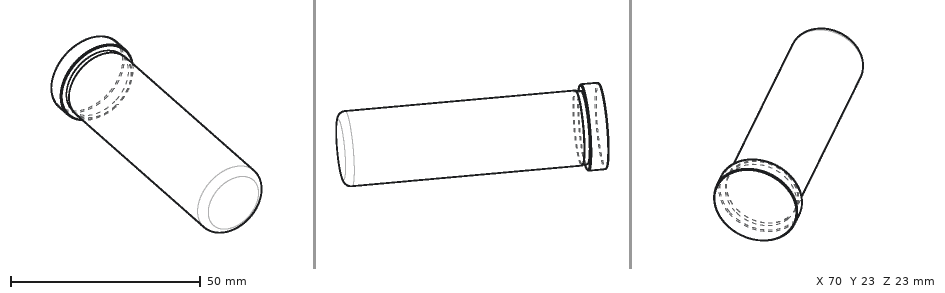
import cadquery as cq

total_length = 70.0
head_diameter = 23.0
head_length = 5.0
head_chamfer = 0.3
shank_diameter = 20.0
tip_radius = 2.0

groove_width = 1.5
groove_depth = 0.2
groove_chamfer = groove_depth


def cylinder_along_x(diameter, start, length):
    return cq.Workplane("YZ").workplane(offset=start).circle(diameter / 2).extrude(length)


def make_head():
    return cylinder_along_x(head_diameter, 0, head_length).edges().chamfer(head_chamfer)


def make_neck():
    groove_diameter = shank_diameter - 2 * groove_depth
    return cylinder_along_x(groove_diameter, head_length, groove_width)


def make_shank():
    shank_start = head_length + groove_width - groove_chamfer
    shank = cylinder_along_x(shank_diameter, shank_start, total_length - shank_start)
    return shank.faces("<X").edges().chamfer(groove_chamfer).faces(">X").edges().fillet(tip_radius)


result = make_head().union(make_neck()).union(make_shank())